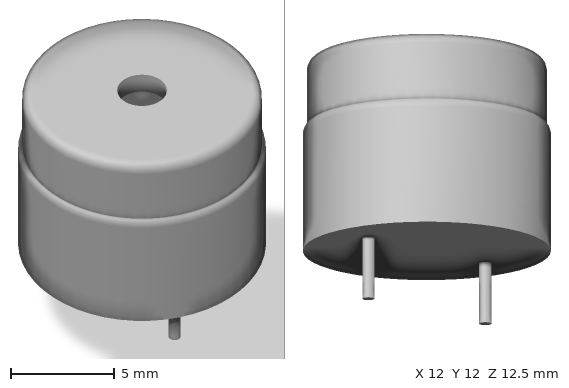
import cadquery as cq

total_height = 12.5
pin_length = 3.0
body_height = total_height - pin_length

base_diameter = 12.0
cap_diameter = 11.6
base_height = 6.31
edge_radius = 0.5

hole_diameter = 2.4
hole_depth = 1.05

pin_diameter = 0.6
pin_spacing = 7.62
pin_overlap = 0.12


def rounded_cylinder(diameter, height):
    """Upright cylinder on the XY plane with a rounded top edge."""
    cylinder = cq.Workplane("XY").circle(diameter / 2).extrude(height)
    return cylinder.faces(">Z").edges().fillet(edge_radius)


def pins():
    """Two pins on the X axis, hanging below the base."""
    return (
        cq.Workplane("XY")
        .workplane(offset=-pin_length)
        .pushPoints([(-pin_spacing / 2, 0), (pin_spacing / 2, 0)])
        .circle(pin_diameter / 2)
        .extrude(pin_length + pin_overlap)
    )


base = rounded_cylinder(base_diameter, base_height)
cap = rounded_cylinder(cap_diameter, body_height)
case = base.union(cap)

case = case.faces(">Z").workplane().hole(hole_diameter, hole_depth)

result = case.union(pins())